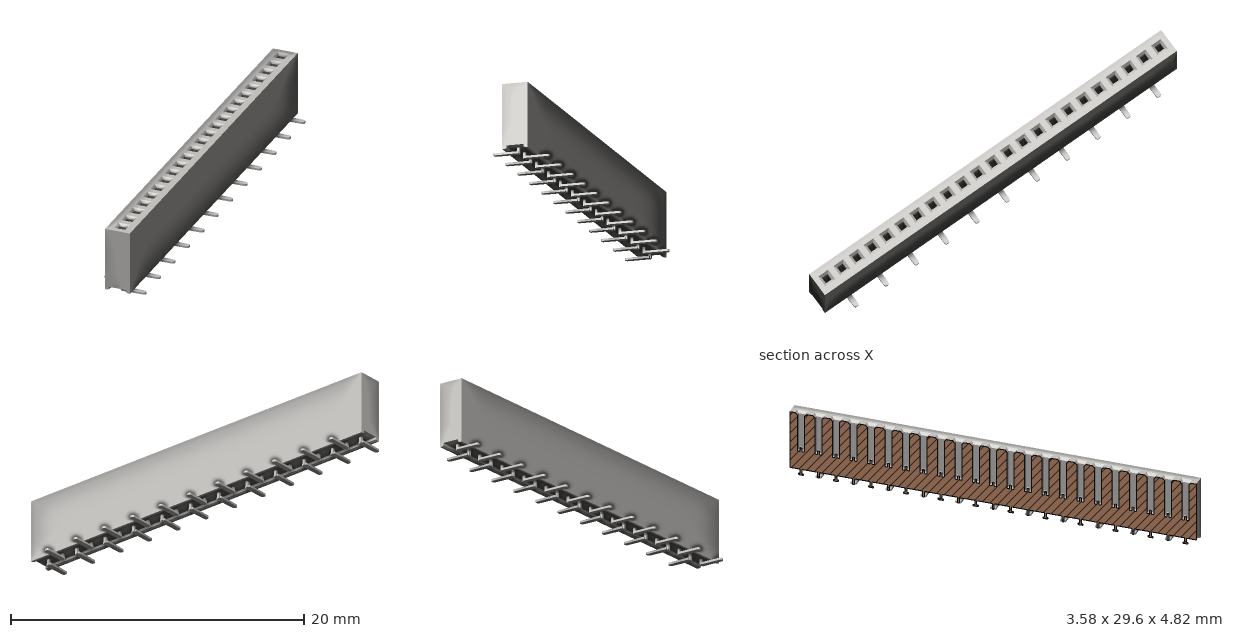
import cadquery as cq

PIN_COUNT = 23
PIN_ROW_LENGTH = 27.93
PITCH = PIN_ROW_LENGTH / (PIN_COUNT - 1)
SPAN_X = 3.58
HEIGHT = 4.82

BODY_LENGTH = 29.55
BODY_WIDTH = 1.83
BODY_BOTTOM = 0.2
BODY_HEIGHT = HEIGHT - BODY_BOTTOM

CHANNEL_WIDTH = 1.25
CHANNEL_MOUTH_WIDTH = 1.55
CHANNEL_FLARE_TOP = 0.27
CHANNEL_TOP = 0.45

SOCKET_MOUTH = 0.83
SOCKET_HOLE = 0.47
FUNNEL_DEPTH = 0.18
SOCKET_DEPTH = 2.95

TAIL_ROOT_WIDTH = 0.4
TAIL_TIP_WIDTH = 0.35
STRIP_THICKNESS = 0.15
TIP_CORNER_RADIUS = 0.15
POST_WIDTH = 0.18
POST_RISE_IN_SOCKET = 0.3
POST_TOP = HEIGHT - SOCKET_DEPTH + POST_RISE_IN_SOCKET

first_y = -PIN_ROW_LENGTH / 2
pin_positions = [first_y + i * PITCH for i in range(PIN_COUNT)]


def make_housing():
    """Long block with a flared channel running through its underside."""
    block = cq.Workplane("XY").box(
        BODY_WIDTH, BODY_LENGTH, BODY_HEIGHT, centered=(True, True, False)
    )
    block = block.translate((0, 0, BODY_BOTTOM))
    channel = (
        cq.Workplane("XZ")
        .polyline(
            [
                (-CHANNEL_MOUTH_WIDTH / 2, BODY_BOTTOM),
                (CHANNEL_MOUTH_WIDTH / 2, BODY_BOTTOM),
                (CHANNEL_WIDTH / 2, CHANNEL_FLARE_TOP),
                (CHANNEL_WIDTH / 2, CHANNEL_TOP),
                (-CHANNEL_WIDTH / 2, CHANNEL_TOP),
                (-CHANNEL_WIDTH / 2, CHANNEL_FLARE_TOP),
            ]
        )
        .close()
        .extrude(BODY_LENGTH / 2, both=True)
    )
    return block.cut(channel)


def make_socket(y):
    """Square blind hole with a funnel-shaped mouth."""
    funnel = (
        cq.Workplane("XY", origin=(0, y, HEIGHT))
        .rect(SOCKET_MOUTH, SOCKET_MOUTH)
        .workplane(offset=-FUNNEL_DEPTH)
        .rect(SOCKET_HOLE, SOCKET_HOLE)
        .loft(combine=True)
    )
    hole = (
        cq.Workplane("XY", origin=(0, y, HEIGHT - SOCKET_DEPTH))
        .rect(SOCKET_HOLE, SOCKET_HOLE)
        .extrude(SOCKET_DEPTH - FUNNEL_DEPTH)
    )
    return funnel.union(hole)


def make_contact(y, side):
    """Post on the centreline with a tapered, rounded tail pointing to side (+1 or -1) in X."""
    tip_x = side * SPAN_X / 2
    tip_edges = "|Z and >X" if side > 0 else "|Z and <X"
    tail = (
        cq.Workplane("XY", origin=(0, y, 0))
        .polyline(
            [
                (0, -TAIL_ROOT_WIDTH / 2),
                (tip_x, -TAIL_TIP_WIDTH / 2),
                (tip_x, TAIL_TIP_WIDTH / 2),
                (0, TAIL_ROOT_WIDTH / 2),
            ]
        )
        .close()
        .extrude(STRIP_THICKNESS)
        .edges(tip_edges)
        .fillet(TIP_CORNER_RADIUS)
    )
    post = (
        cq.Workplane("XY", origin=(0, y, 0))
        .rect(POST_WIDTH, POST_WIDTH)
        .extrude(POST_TOP)
    )
    return tail.union(post)


result = make_housing()
for y in pin_positions:
    result = result.cut(make_socket(y))
for index, y in enumerate(pin_positions):
    side = 1 if index % 2 == 0 else -1
    result = result.union(make_contact(y, side))